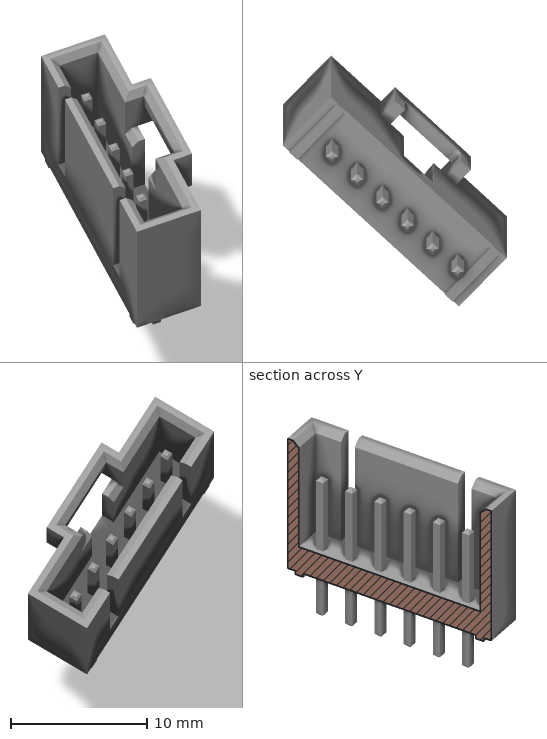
import cadquery as cq


housing_length = 17.79
housing_depth = 5.1
housing_height = 11.51
wall = 1.0
floor_thickness = 2.28
lead_in = wall / 2
front_y = -housing_depth / 2
back_y = housing_depth / 2
inner_front_y = front_y + wall
inner_back_y = back_y - wall

bay_length = 7.67
bay_projection = 1.5
bay_height = 3.8
bay_opening_length = bay_length - 2 * wall
bay_back_y = back_y + bay_projection
bay_inner_back_y = bay_back_y - wall
bay_bottom_z = housing_height - bay_height

bay_bar_height = 1.5
window_radius = 0.5

front_slot_width = 1.2
front_slot_spacing = 10.18
back_slot_width = 3.0

foot_length = 0.75
foot_height = 0.3
foot_spacing = 15.73

pin_count = 6
pin_pitch = 2.55
pin_width = 0.64
pin_tip = 0.2
pin_protrusion = 3.6
pin_recess = 3.0


def block(length, y_start, y_end, z_start, z_end, x=0):
    """Box centred on x along X, spanning the given Y and Z limits."""
    return (
        cq.Workplane("XY")
        .box(length, y_end - y_start, z_end - z_start, centered=(True, False, False))
        .translate((x, y_start, z_start))
    )


def mirrored_positions(spacing):
    return (-spacing / 2, spacing / 2)


def make_shell():
    """Solid housing with the latch bay on its back."""
    body = block(housing_length, front_y, back_y, 0, housing_height)
    bay = block(bay_length, back_y, bay_back_y, bay_bottom_z, housing_height)
    return body.union(bay)


def make_chamber():
    """Pin chamber, with a bevel along the top of the back wall below the bay."""
    chamber_length = housing_length - 2 * wall
    chamber = block(chamber_length, inner_front_y, inner_back_y, floor_thickness, housing_height)
    ledge_bevel = (
        cq.Workplane("YZ")
        .moveTo(inner_back_y, bay_bottom_z - lead_in)
        .lineTo(inner_back_y + lead_in, bay_bottom_z)
        .lineTo(inner_back_y, bay_bottom_z)
        .close()
        .extrude(bay_opening_length / 2, both=True)
    )
    return chamber.union(ledge_bevel)


def make_bay_opening():
    """Opening through the back wall into the bay."""
    return block(bay_opening_length, inner_front_y, bay_inner_back_y, bay_bottom_z, housing_height)


def make_bay_window():
    """Opening through the back of the bay, round in its upper corners and open below."""
    window_top = housing_height - bay_bar_height
    window = block(bay_opening_length, bay_inner_back_y, bay_back_y, bay_bottom_z, window_top)
    return window.edges("|Y and >Z").fillet(window_radius)


def chamfer_rim(housing):
    """Chamfer the inner loop of the top face."""
    rim = housing.faces(">Z").val()
    return housing.newObject(rim.innerWires()[0].Edges()).chamfer(lead_in)


def make_slots():
    """Two slots through the front wall and one through the back wall."""
    slots = block(back_slot_width, inner_back_y, back_y, floor_thickness, bay_bottom_z)
    for x in mirrored_positions(front_slot_spacing):
        front_slot = block(front_slot_width, front_y, inner_front_y, floor_thickness, housing_height, x)
        slots = slots.union(front_slot)
    return slots


def make_foot(x):
    return block(foot_length, front_y, back_y, -foot_height, 0, x)


def make_pin(x):
    """Square pin with both ends bevelled."""
    half_width = pin_width / 2
    pin_top = housing_height - pin_recess
    pin = block(pin_width, -half_width, half_width, -pin_protrusion, pin_top, x)
    return pin.faces("<Z or >Z").chamfer(pin_tip)


housing = make_shell().cut(make_chamber()).cut(make_bay_opening()).cut(make_bay_window())
housing = chamfer_rim(housing).cut(make_slots())

for foot_x in mirrored_positions(foot_spacing):
    housing = housing.union(make_foot(foot_x))

for index in range(pin_count):
    pin_x = (index - (pin_count - 1) / 2) * pin_pitch
    housing = housing.union(make_pin(pin_x))

result = housing